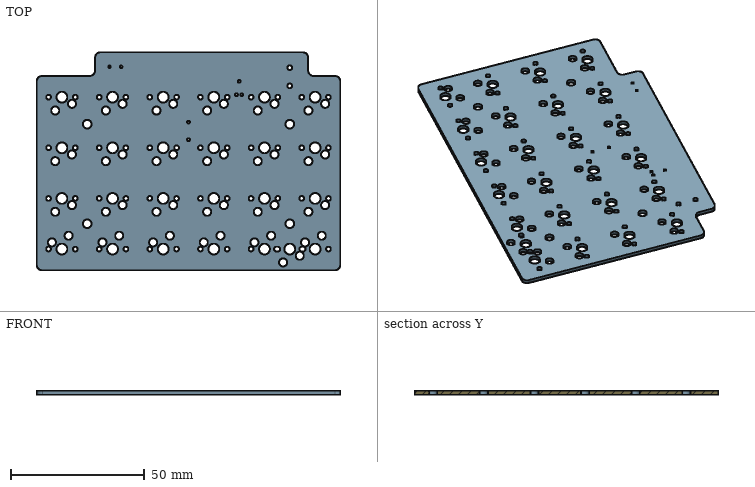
import cadquery as cq

WIDTH = 114.2
DEPTH = 82.0
THICKNESS = 1.6
TAB_DEPTH = 8.9
TAB_LEFT_INSET = 21.9
TAB_RIGHT_INSET = 12.1
CORNER_RADIUS = 2.0

COLUMNS = 6
ROWS = 4
KEY_PITCH = WIDTH / COLUMNS
BOTTOM_ROW_Y = 8.0
TOP_ROW_Y = BOTTOM_ROW_Y + (ROWS - 1) * KEY_PITCH
FIRST_COLUMN_X = -(COLUMNS - 1) / 2 * KEY_PITCH

STEM_DIAMETER = 4.0
PEG_DIAMETER = 1.7
PEG_OFFSET = 5.0
CONTACT_DIAMETER = 3.0
CONTACT_OFFSETS = [(3.8, -2.5), (-2.5, -5.0)]

MOUNT_DIAMETER = 3.2
MOUNT_X = (COLUMNS - 2) / 2 * KEY_PITCH
LOWER_MOUNT_Y = BOTTOM_ROW_Y + KEY_PITCH / 2
UPPER_MOUNT_DROP = 10.2
UPPER_MOUNT_Y = TOP_ROW_Y - UPPER_MOUNT_DROP

LOCATING_DIAMETER = 1.7
LOCATING_POINTS = [(MOUNT_X, 69.3), (MOUNT_X, 76.2)]

TAB_LEAD_DIAMETER = 0.9
TAB_LEAD_POINTS = [(-29.7, 76.5), (-25.4, 76.5)]
TRIPLE_LEAD_DIAMETER = 0.99
LEAD_PAIR_OFFSET = 1.0
LEAD_PAIR_Y = 66.0
TRIPLE_LEAD_POINTS = [
    (KEY_PITCH, 71.1),
    (KEY_PITCH - LEAD_PAIR_OFFSET, LEAD_PAIR_Y),
    (KEY_PITCH + LEAD_PAIR_OFFSET, LEAD_PAIR_Y),
]
CENTRE_LEAD_DIAMETER = 1.0
CENTRE_LEAD_POINTS = [(0, 55.8), (0, 49.1)]


def make_plate():
    """Stepped outline with every vertical corner rounded."""
    half_width = WIDTH / 2
    shoulder_y = DEPTH - TAB_DEPTH
    tab_left = -half_width + TAB_LEFT_INSET
    tab_right = half_width - TAB_RIGHT_INSET
    outline = [
        (-half_width, 0),
        (half_width, 0),
        (half_width, shoulder_y),
        (tab_right, shoulder_y),
        (tab_right, DEPTH),
        (tab_left, DEPTH),
        (tab_left, shoulder_y),
        (-half_width, shoulder_y),
    ]
    plate = cq.Workplane("XY").polyline(outline).close().extrude(THICKNESS)
    return plate.edges("|Z").fillet(CORNER_RADIUS)


def hole_pins(points, diameter):
    """Cylinders through the full thickness, used as cutters."""
    return cq.Workplane("XY").pushPoints(points).circle(diameter / 2).extrude(THICKNESS)


def key_positions():
    """Switch centres as (x, y, direction); direction -1 is a half turn."""
    positions = []
    for row in range(ROWS):
        direction = -1 if row == 0 else 1
        for column in range(COLUMNS):
            x = FIRST_COLUMN_X + column * KEY_PITCH
            y = BOTTOM_ROW_Y + row * KEY_PITCH
            positions.append((x, y, direction))
    positions.append((MOUNT_X, BOTTOM_ROW_Y, 1))
    return positions


def cut_keys(plate):
    """Stem, peg and contact holes of every switch."""
    stems = []
    left_pegs = []
    right_pegs = []
    contacts = []
    for x, y, direction in key_positions():
        stems.append((x, y))
        left_pegs.append((x - PEG_OFFSET, y))
        right_pegs.append((x + PEG_OFFSET, y))
        for dx, dy in CONTACT_OFFSETS:
            contacts.append((x + direction * dx, y + direction * dy))
    plate = plate.cut(hole_pins(stems, STEM_DIAMETER))
    plate = plate.cut(hole_pins(left_pegs, PEG_DIAMETER))
    plate = plate.cut(hole_pins(right_pegs, PEG_DIAMETER))
    return plate.cut(hole_pins(contacts, CONTACT_DIAMETER))


def cut_other_holes(plate):
    """Mounting, locating and lead holes."""
    mounts = []
    for x in (-MOUNT_X, MOUNT_X):
        for y in (LOWER_MOUNT_Y, UPPER_MOUNT_Y):
            mounts.append((x, y))
    plate = plate.cut(hole_pins(mounts, MOUNT_DIAMETER))
    plate = plate.cut(hole_pins(LOCATING_POINTS, LOCATING_DIAMETER))
    plate = plate.cut(hole_pins(TAB_LEAD_POINTS, TAB_LEAD_DIAMETER))
    plate = plate.cut(hole_pins(TRIPLE_LEAD_POINTS, TRIPLE_LEAD_DIAMETER))
    return plate.cut(hole_pins(CENTRE_LEAD_POINTS, CENTRE_LEAD_DIAMETER))


result = cut_other_holes(cut_keys(make_plate()))